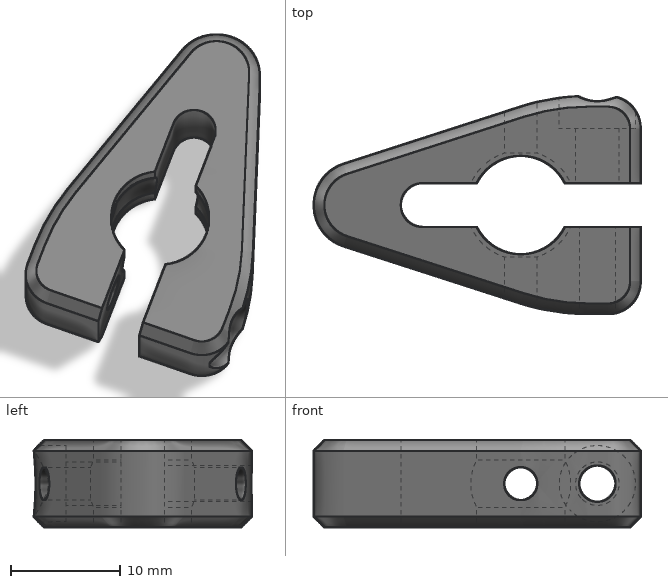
import cadquery as cq
import math

length = 30.0
width = 20.0
thickness = 8.0
half_width = width / 2

nose_radius = 4.0
flank_radius = 20.0
flank_end_x = 25.13
corner_radius = 3.0
edge_chamfer = 1.0

bore_x = 18.98
bore_diameter = 9.0
socket_diameter = 10.0
slot_width = 4.0
slot_start_x = 8.0

cross_hole_diameter = 3.0
screw_x = 26.0
thread_diameter = 3.3
clearance_diameter = 4.0
head_diameter = 7.0
head_depth = 3.0


def make_body():
    """Chamfered plate whose straight sides are tangent to the nose and flank arcs."""
    flank_center_y = half_width - flank_radius
    center_dx = flank_end_x - nose_radius
    center_distance = math.hypot(center_dx, flank_center_y)
    taper = math.atan2(center_dx, -flank_center_y) - math.acos(
        (flank_radius - nose_radius) / center_distance
    )

    def flank_point(angle):
        x = flank_end_x - flank_radius * math.sin(angle)
        y = flank_center_y + flank_radius * math.cos(angle)
        return x, y

    def mirrored(point):
        return point[0], -point[1]

    nose_end = (nose_radius * (1 - math.sin(taper)), nose_radius * math.cos(taper))
    flank_start = flank_point(taper)
    flank_middle = flank_point(taper / 2)
    flank_end = (flank_end_x, half_width)
    corner_start = (length - corner_radius, half_width)
    corner_end = (length, half_width - corner_radius)
    corner_inset = corner_radius * (1 - math.sqrt(0.5))
    corner_middle = (length - corner_inset, half_width - corner_inset)

    return (
        cq.Workplane("XY")
        .workplane(offset=-thickness / 2)
        .moveTo(*nose_end)
        .lineTo(*flank_start)
        .threePointArc(flank_middle, flank_end)
        .lineTo(*corner_start)
        .threePointArc(corner_middle, corner_end)
        .lineTo(*mirrored(corner_end))
        .threePointArc(mirrored(corner_middle), mirrored(corner_start))
        .lineTo(*mirrored(flank_end))
        .threePointArc(mirrored(flank_middle), mirrored(flank_start))
        .lineTo(*mirrored(nose_end))
        .threePointArc((0, 0), nose_end)
        .close()
        .extrude(thickness)
        .faces("<Z or >Z")
        .chamfer(edge_chamfer)
    )


def make_opening():
    """Vertical bore, spherical socket and round-ended slot open at +X."""
    slot_radius = slot_width / 2
    slot_center_x = slot_start_x + slot_radius
    bore = cq.Workplane("XY").center(bore_x, 0).circle(bore_diameter / 2).extrude(thickness / 2, both=True)
    socket = cq.Workplane("XY").center(bore_x, 0).sphere(socket_diameter / 2)
    slot = (
        cq.Workplane("XY")
        .moveTo(length, slot_radius)
        .lineTo(slot_center_x, slot_radius)
        .threePointArc((slot_start_x, 0), (slot_center_x, -slot_radius))
        .lineTo(length, -slot_radius)
        .close()
        .extrude(thickness / 2, both=True)
    )
    return bore.union(socket).union(slot)


def y_hole(x, diameter, y_start, y_end):
    """Cylinder along Y between two Y positions at mid-thickness."""
    return cq.Workplane(
        cq.Solid.makeCylinder(diameter / 2, y_end - y_start, cq.Vector(x, y_start, 0), cq.Vector(0, 1, 0))
    )


result = make_body().cut(make_opening())

result = result.cut(y_hole(bore_x, cross_hole_diameter, -half_width, half_width))

result = result.cut(y_hole(screw_x, thread_diameter, -half_width, 0))
result = result.cut(y_hole(screw_x, clearance_diameter, 0, half_width))
result = result.cut(y_hole(screw_x, head_diameter, half_width - head_depth, half_width))